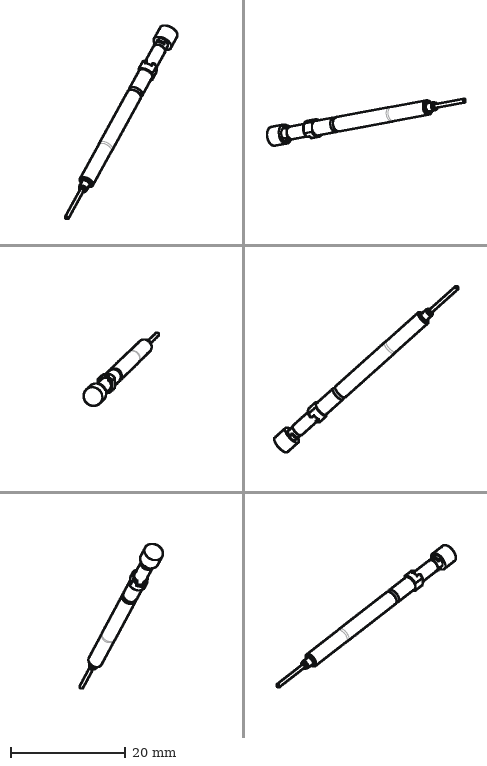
import cadquery as cq

total_length = 44.8
head_end = 2.75
lug_end = 3.4
neck_end = 4.05
shank_end = 8.1
slot_end = 8.95
collar_end = 10.15
groove_start = 14.4
groove_flank_end = 14.65
groove_deepest = 14.84
groove_end = 15.05
press_band_start = 27.45
press_band_end = 27.85
barrel_end = 36.2
sleeve_end = 37.8

head_radius = 1.7
neck_radius = 1.05
lug_radius = 1.43
shank_radius = 1.15
collar_radius = 1.58
barrel_radius = 1.31
groove_flank_radius = 1.21
groove_radius = 1.17
front_barrel_radius = 1.28
sleeve_radius = 0.75
pin_radius = 0.35

collar_chamfer = 0.25
front_chamfer = 0.25
sleeve_chamfer_length = 0.4
sleeve_chamfer_depth = 0.13
lug_width = 1.2
tip_length = 0.3


def along_y(station):
    return total_length / 2 - station


def revolve_about_y(section):
    """Revolve a closed section drawn in the YZ plane about the Y axis."""
    return section.revolve(360, (0, 0, 0), (1, 0, 0))


def turned_section(profile):
    """Turn a list of (station, radius) points into a solid; a last radius of 0 makes a point."""
    first_station = profile[0][0]
    last_station = profile[-1][0]
    outline = [(along_y(first_station), 0)]
    outline += [(along_y(station), radius) for station, radius in profile]
    if profile[-1][1] > 0:
        outline.append((along_y(last_station), 0))
    return revolve_about_y(cq.Workplane("YZ").polyline(outline).close())


def disc(start, end, radius):
    return turned_section([(start, radius), (end, radius)])


def slab(start, end, x_width, z_height):
    """Box centred on the axis, between two stations."""
    middle = along_y((start + end) / 2)
    return cq.Workplane("XY").box(x_width, end - start, z_height).translate((0, middle, 0))


def make_rear():
    """Head, neck and shank."""
    head = disc(0, head_end, head_radius)
    neck = disc(head_end, neck_end, neck_radius)
    shank = disc(neck_end, shank_end, shank_radius)
    return head.union(neck).union(shank)


def make_lugs():
    """Two bayonet lugs standing up and down from the neck, behind the head."""
    ring = disc(head_end, lug_end, lug_radius)
    return ring.intersect(slab(head_end, lug_end, lug_width, 2 * lug_radius))


def make_collar():
    """Chamfered collar with two side flats and two slots matching the lugs."""
    collar = turned_section([
        (shank_end, collar_radius - collar_chamfer),
        (shank_end + collar_chamfer, collar_radius),
        (collar_end, collar_radius),
    ])
    collar = collar.intersect(slab(shank_end, collar_end, 2 * barrel_radius, 2 * collar_radius))
    slots = slab(shank_end, slot_end, lug_width, 2 * collar_radius)
    return collar.cut(slots).union(disc(shank_end, slot_end, shank_radius))


def make_barrel():
    """Barrel with a slightly reduced front part and a chamfered end."""
    return turned_section([
        (collar_end, barrel_radius),
        (press_band_start, barrel_radius),
        (press_band_end, front_barrel_radius),
        (barrel_end - front_chamfer, front_barrel_radius),
        (barrel_end, front_barrel_radius - front_chamfer),
    ])


def make_groove():
    """Ring to remove from the barrel: a conical rear flank running into a rounded groove."""
    section = (
        cq.Workplane("YZ")
        .moveTo(along_y(groove_start), barrel_radius)
        .lineTo(along_y(groove_flank_end), groove_flank_radius)
        .threePointArc((along_y(groove_deepest), groove_radius), (along_y(groove_end), barrel_radius))
        .close()
    )
    return revolve_about_y(section)


def make_plunger():
    """Guide sleeve and contact pin with a conical tip."""
    sleeve = turned_section([
        (barrel_end, sleeve_radius),
        (sleeve_end - sleeve_chamfer_length, sleeve_radius),
        (sleeve_end, sleeve_radius - sleeve_chamfer_depth),
    ])
    pin = disc(sleeve_end, total_length - tip_length, pin_radius)
    tip = turned_section([(total_length - tip_length, pin_radius), (total_length, 0)])
    return sleeve.union(pin).union(tip)


barrel = make_barrel().cut(make_groove())
result = make_rear().union(make_lugs()).union(make_collar()).union(barrel).union(make_plunger())